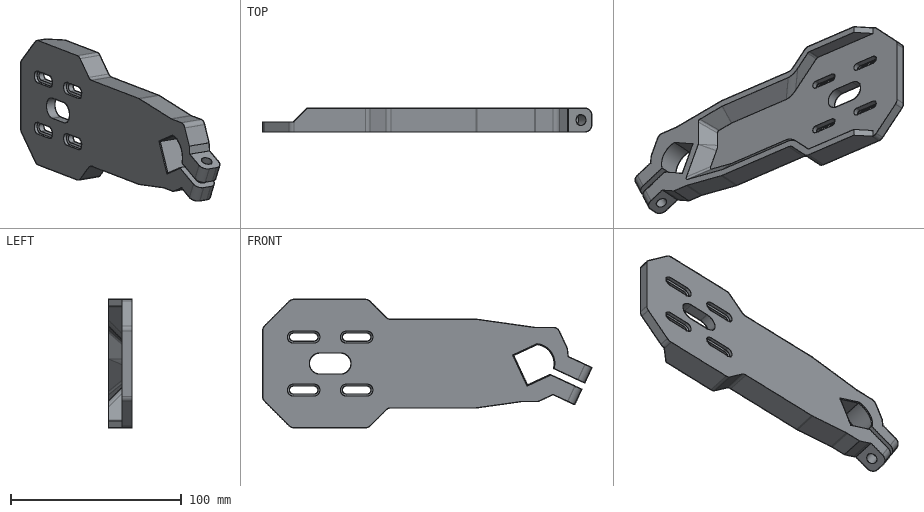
import cadquery as cq
import math

thickness = 14.0
floor_thickness = 6.0
outline_radius = 4.0
overall_length = 192.82
tolerance = 0.001

head_length = 78.6
head_half_height = 37.65
head_corner = 16.8

neck_half_height = 26.0
taper_start_x = 125.3
taper_angle = math.radians(8)
taper_slope = math.tan(taper_angle)
clamp_top_z = 21.2
clamp_bottom_z = -22.3

clamp_x = 159.4
clamp_angle = math.radians(25)
clamp_radius = 21.0
seat_half_width = 9.5
seat_depth = 9.2
bore_radius = 11.2
bore_chamfer = 0.5

gap_half_width = 2.0
ear_half_width = 12.0
upper_ear_root = 16.0
lower_ear_root = math.sqrt(clamp_radius**2 - ear_half_width**2)
ear_tip = (overall_length - clamp_x - ear_half_width * math.sin(clamp_angle)) / math.cos(clamp_angle)
tip_radius = 4.5
screw_diameter = 6.3
screw_distance = 24.2

motor_x = 39.6
slot_pitch = 31.0
slot_travel = 12.0
shaft_slot_width = 12.2
screw_slot_width = 4.6
screw_head_width = 7.0
screw_head_depth = 2.0
screw_seat_angle = math.radians(25)

rim_width = 4.0
rim_start_x = 18.0
recess_depth = thickness - floor_thickness
head_recess_radius = 2.0
neck_recess_radius = 2.0
junction_radius = 5.0
recess_end_x = 143.0


def plane_at(y):
    """Sketch plane at height y whose local axes are X and Z; a negative extrusion goes toward +Y."""
    return cq.Workplane("XZ", origin=(0, y, 0))


def from_clamp(u, v, angle):
    """X, Z of a point given about the clamp axis in a frame turned by angle."""
    return (
        clamp_x + u * math.cos(angle) - v * math.sin(angle),
        u * math.sin(angle) + v * math.cos(angle),
    )


def fillet_edges(part, radius, is_chosen):
    """Fillet the edges of part for which is_chosen is true."""
    return part.newObject([edge for edge in part.edges().vals() if is_chosen(edge)]).fillet(radius)


def stands_at(points):
    """Edge test: true for edges along Y through one of the X, Z points."""

    def is_chosen(edge):
        center = edge.Center()
        near = any(math.hypot(center.x - x, center.z - z) < tolerance for x, z in points)
        return near and abs(edge.tangentAt(0).y) > 1 - tolerance

    return is_chosen


def make_body():
    head_flat = head_half_height - head_corner
    neck_x = head_length - (neck_half_height - head_flat)
    top_taper_end_x = taper_start_x + (neck_half_height - clamp_top_z) / taper_slope
    bottom_taper_end_x = taper_start_x + (neck_half_height + clamp_bottom_z) / taper_slope
    sine = math.sin(clamp_angle)
    cosine = math.cos(clamp_angle)
    top_corner_x = clamp_x + (clamp_radius - clamp_top_z * sine) / cosine
    bottom_corner_x = clamp_x + (clamp_radius + clamp_bottom_z * cosine) / sine

    upper_points = [
        (0, head_flat),
        (head_corner, head_half_height),
        (head_length - head_corner, head_half_height),
        (neck_x, neck_half_height),
        (taper_start_x, neck_half_height),
        (top_taper_end_x, clamp_top_z),
        (top_corner_x, clamp_top_z),
    ]
    lower_points = [
        (bottom_taper_end_x, clamp_bottom_z),
        (taper_start_x, -neck_half_height),
        (neck_x, -neck_half_height),
        (head_length - head_corner, -head_half_height),
        (head_corner, -head_half_height),
        (0, -head_flat),
    ]
    arc_start_angle = -math.pi / 2 + clamp_angle
    arc_end_angle = -clamp_angle - math.atan2(ear_half_width, lower_ear_root)
    arc_middle_angle = (arc_start_angle + arc_end_angle) / 2
    body = (
        plane_at(0)
        .polyline(upper_points)
        .lineTo(*from_clamp(clamp_radius, 0, clamp_angle))
        .lineTo(*from_clamp(upper_ear_root, ear_half_width, -clamp_angle))
        .lineTo(*from_clamp(ear_tip, ear_half_width, -clamp_angle))
        .lineTo(*from_clamp(ear_tip, -ear_half_width, -clamp_angle))
        .lineTo(*from_clamp(lower_ear_root, -ear_half_width, -clamp_angle))
        .threePointArc(
            from_clamp(clamp_radius, 0, arc_middle_angle),
            from_clamp(clamp_radius, 0, arc_start_angle),
        )
        .lineTo(bottom_corner_x, clamp_bottom_z)
    )
    for point in lower_points:
        body = body.lineTo(*point)
    body = body.close().extrude(-thickness)
    body = fillet_edges(body, outline_radius, stands_at(upper_points + lower_points))

    tip_x, tip_z = from_clamp(ear_tip, 0, -clamp_angle)

    def is_tip_edge(edge):
        center = edge.Center()
        return math.hypot(center.x - tip_x, center.z - tip_z) < tolerance

    return fillet_edges(body, tip_radius, is_tip_edge)


def bore_profile(y, growth):
    """Outline of the clamp opening, moved outwards by growth."""
    half_width = seat_half_width + growth
    depth = seat_depth + growth
    radius = bore_radius + growth
    arc_start = math.sqrt(radius**2 - half_width**2)
    return (
        plane_at(y)
        .moveTo(*from_clamp(arc_start, -half_width, clamp_angle))
        .lineTo(*from_clamp(-depth, -half_width, clamp_angle))
        .lineTo(*from_clamp(-depth, half_width, clamp_angle))
        .lineTo(*from_clamp(arc_start, half_width, clamp_angle))
        .threePointArc(
            from_clamp(radius, 0, clamp_angle),
            from_clamp(arc_start, -half_width, clamp_angle),
        )
        .close()
    )


def make_clamp_opening():
    """Bore with a chamfered front edge, and the gap that splits the ears."""
    bore = bore_profile(0, 0).extrude(-thickness)
    mouth = bore_profile(0, bore_chamfer).extrude(-bore_chamfer, taper=45)
    gap_x, gap_z = from_clamp(ear_tip / 2, 0, -clamp_angle)
    gap = (
        plane_at(0)
        .center(gap_x, gap_z)
        .transformed(rotate=(0, 0, -math.degrees(clamp_angle)))
        .rect(ear_tip + 2 * gap_half_width, 2 * gap_half_width)
        .extrude(-thickness)
    )
    return bore.union(mouth).union(gap)


def make_screw_hole():
    """Clamp screw hole, square to the ears and through both of them."""
    x, z = from_clamp(screw_distance, 0, -clamp_angle)
    across_ears = cq.Vector(math.sin(clamp_angle), 0, math.cos(clamp_angle))
    middle = cq.Vector(x, thickness / 2, z)
    start = middle - across_ears * (2 * ear_half_width)
    return cq.Workplane(cq.Solid.makeCylinder(screw_diameter / 2, 4 * ear_half_width, start, across_ears))


def make_head_recess():
    """Upright-walled chamber parallel to the head outline, pointed where it runs into the neck."""
    wall_z = head_half_height - rim_width
    corner_x = head_length - head_corner - rim_width * math.tan(math.pi / 8)
    corners = [(corner_x, wall_z), (corner_x, -wall_z)]
    recess = (
        plane_at(floor_thickness)
        .polyline([(0, wall_z), corners[0], (corner_x + wall_z, 0), corners[1], (0, -wall_z)])
        .close()
        .extrude(-recess_depth)
    )
    return fillet_edges(recess, head_recess_radius, stands_at(corners))


def make_neck_recess():
    """Chamber with walls sloping at 45 degrees, ending beside the clamp seat."""
    seat_wall = seat_depth + bore_chamfer + rim_width
    wall_z = neck_half_height - rim_width
    bend_x = taper_start_x - rim_width * math.tan(taper_angle / 2)
    top_end_z = wall_z - (recess_end_x - bend_x) * taper_slope
    kink_z = ((clamp_x - recess_end_x) * math.cos(clamp_angle) - seat_wall) / math.sin(clamp_angle)
    seat_slope = math.tan(clamp_angle)
    seat_wall_x = clamp_x - seat_wall / math.cos(clamp_angle)
    low_x = (seat_wall_x + seat_slope * (wall_z + bend_x * taper_slope)) / (1 + seat_slope * taper_slope)
    low_z = (seat_wall_x - low_x) / seat_slope
    rim_edge = [
        (motor_x, wall_z),
        (bend_x, wall_z),
        (recess_end_x, top_end_z),
        (recess_end_x, kink_z),
        (low_x, low_z),
        (bend_x, -wall_z),
        (motor_x, -wall_z),
    ]
    recess = plane_at(thickness).polyline(rim_edge).close().extrude(recess_depth, taper=45)

    def is_end_corner(edge):
        return abs(edge.tangentAt(0).y) > tolerance and edge.Center().x > taper_start_x

    return fillet_edges(recess, neck_recess_radius, is_end_corner)


def make_recess():
    """Head and neck chambers joined, with their junction rounded."""
    recess = make_head_recess().union(make_neck_recess())
    inclination = 1 / math.sqrt(3)

    def is_junction(edge):
        """The upright and sloping walls meet in edges equally inclined to all three axes."""
        direction = edge.tangentAt(0).toTuple()
        equally_inclined = all(abs(abs(part) - inclination) < tolerance for part in direction)
        return equally_inclined and motor_x < edge.Center().x < taper_start_x

    return fillet_edges(recess, junction_radius, is_junction)


def make_rim_bevel():
    """Clears the back of the head up to the sloping ends of the rim."""
    return (
        cq.Workplane("XY")
        .moveTo(0, floor_thickness)
        .lineTo(rim_start_x, floor_thickness)
        .lineTo(rim_start_x + recess_depth, thickness)
        .lineTo(0, thickness)
        .close()
        .extrude(head_half_height, both=True)
    )


def slot(x, z, y, width):
    """Outline of a slot along X, centred on x, z in the plane at height y."""
    return plane_at(y).center(x, z).slot2D(slot_travel + width, width)


def make_screw_slot(x, z):
    """Through slot with a wider mouth for the screw head and a shallow conical seat below it."""
    cone_depth = (screw_head_width - screw_slot_width) / 2 * math.tan(screw_seat_angle)
    cone_taper = 90 - math.degrees(screw_seat_angle)
    through = slot(x, z, 0, screw_slot_width).extrude(-thickness)
    mouth = slot(x, z, 0, screw_head_width).extrude(-screw_head_depth)
    seat = slot(x, z, screw_head_depth, screw_head_width).extrude(-cone_depth, taper=cone_taper)
    return through.union(mouth).union(seat)


def make_motor_slots():
    slots = slot(motor_x, 0, 0, shaft_slot_width).extrude(-thickness)
    for side_x in (-1, 1):
        for side_z in (-1, 1):
            x = motor_x + side_x * slot_pitch / 2
            z = side_z * slot_pitch / 2
            slots = slots.union(make_screw_slot(x, z))
    return slots


result = make_body().cut(make_recess()).cut(make_rim_bevel())
result = result.cut(make_clamp_opening()).cut(make_screw_hole()).cut(make_motor_slots())